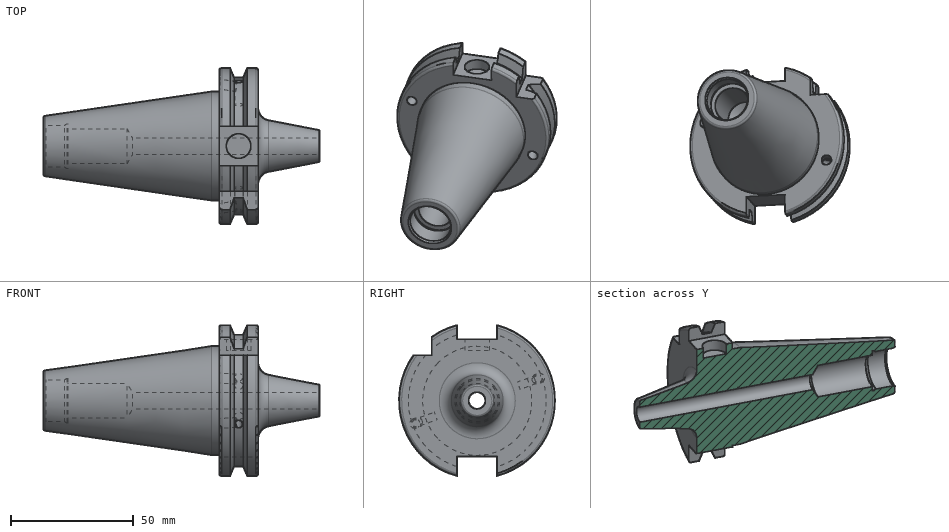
import cadquery as cq
import math


gauge_diameter = 44.45
taper_ratio = 7 / 24
shank_length = 68.4
shank_end_round = 1.0

flange_diameter = 63.55
flange_start = 3.2
flange_end = 19.1
flange_edge_round = 1.0
groove_center = 11.1
groove_floor_diameter = 56.1
groove_floor_width = 3.7
groove_mouth_width = 7.0
cut_clearance = 1.0

nose_length = 25.0
nose_tip_diameter = 13.0
nose_half_angle = 11.0
nose_root_round = 5.0
nose_tip_round = 0.7

mouth_chamfer_length = 1.0
mouth_chamfer_height = 0.55
counterbore_diameter = 17.0
counterbore_depth = 8.5
relief_flare_length = 1.0
relief_diameter = 18.2
relief_end_depth = 10.0
core_diameter = 14.2
core_depth = 34.0
drill_point_half_angle = 59.0
through_diameter = 6.7

slot_width = 16.1
upper_slot_floor = 25.0
lower_slot_floor = 22.8
notch_wall = 18.5
notch_floor = 18.5
pocket_diameter = 10.0
pocket_depth = 4.5

coolant_circle_radius = 27.0
coolant_angle = 20.0
coolant_diameter = 4.0
channel_slope = 10.0
channel_length = 7.0
plug_diameter = 3.2
plug_floor_radius = 18.0

shank_start = -shank_length
nose_end = flange_end + nose_length
gauge_radius = gauge_diameter / 2
shank_end_radius = (gauge_diameter - shank_length * taper_ratio) / 2
flange_radius = flange_diameter / 2
flange_width = flange_end - flange_start
flange_middle = (flange_start + flange_end) / 2
nose_tip_radius = nose_tip_diameter / 2
nose_root_radius = nose_tip_radius + nose_length * math.tan(math.radians(nose_half_angle))


def revolve_about_x(points):
    """Revolve a closed outline of (x, radius) points about the X axis."""
    return cq.Workplane("XY").polyline(points).close().revolve(360, (0, 0, 0), (1, 0, 0))


def circle_edges(body, x, radius):
    """Select the circular edges of a turned body at one axial place and radius."""
    margin = 0.01
    box = cq.selectors.BoxSelector(
        (x - margin, -radius - margin, -radius - margin),
        (x + margin, radius + margin, radius + margin),
        boundingbox=True,
    )
    outer = [e for e in body.edges(box).vals() if abs(e.radius() - radius) < margin]
    return body.newObject(outer)


def make_turned_body():
    body = revolve_about_x([
        (shank_start, 0),
        (shank_start, shank_end_radius),
        (0, gauge_radius),
        (flange_start, gauge_radius),
        (flange_start, flange_radius),
        (flange_end, flange_radius),
        (flange_end, nose_root_radius),
        (nose_end, nose_tip_radius),
        (nose_end, 0),
    ])
    rounds = [
        (shank_start, shank_end_radius, shank_end_round),
        (flange_start, flange_radius, flange_edge_round),
        (flange_end, flange_radius, flange_edge_round),
        (flange_end, nose_root_radius, nose_root_round),
        (nose_end, nose_tip_radius, nose_tip_round),
    ]
    for x, radius, round_radius in rounds:
        body = circle_edges(body, x, radius).fillet(round_radius)
    return body


def make_gripper_groove():
    floor_radius = groove_floor_diameter / 2
    outer_radius = flange_radius + cut_clearance
    mouth_half = groove_mouth_width / 2
    floor_half = groove_floor_width / 2
    return revolve_about_x([
        (groove_center - floor_half, floor_radius),
        (groove_center - mouth_half, flange_radius),
        (groove_center - mouth_half, outer_radius),
        (groove_center + mouth_half, outer_radius),
        (groove_center + mouth_half, flange_radius),
        (groove_center + floor_half, floor_radius),
    ])


def make_bore():
    counterbore_radius = counterbore_diameter / 2
    core_radius = core_diameter / 2
    through_radius = through_diameter / 2
    counterbore_end = shank_start + counterbore_depth
    relief_radius = relief_diameter / 2
    relief_end = shank_start + relief_end_depth
    core_end = shank_start + core_depth
    point_length = (core_radius - through_radius) / math.tan(math.radians(drill_point_half_angle))
    return revolve_about_x([
        (shank_start, 0),
        (shank_start, counterbore_radius + mouth_chamfer_height),
        (shank_start + mouth_chamfer_length, counterbore_radius),
        (counterbore_end, counterbore_radius),
        (counterbore_end + relief_flare_length, relief_radius),
        (relief_end, relief_radius),
        (relief_end, core_radius),
        (core_end, core_radius),
        (core_end + point_length, through_radius),
        (nose_end, through_radius),
        (nose_end, 0),
    ])


def make_drive_slot(floor_height, side):
    """Slot through the flange on the +Z (side = 1) or -Z (side = -1) edge."""
    depth = flange_radius - floor_height
    middle = (flange_radius + floor_height) / 2
    block = cq.Workplane("XY").box(flange_width, slot_width, depth)
    return block.translate((flange_middle, 0, side * middle))


def make_orientation_notch():
    """Square-cornered notch in the flange on the -Y, +Z side."""
    depth = flange_radius - notch_wall
    height = flange_radius - notch_floor
    block = cq.Workplane("XY").box(flange_width, depth, height, centered=(True, False, False))
    return block.translate((flange_middle, -flange_radius, notch_floor))


def make_chip_pocket():
    """Round blind pocket in the floor of the upper drive slot."""
    pocket_plane = cq.Workplane("XY").workplane(offset=upper_slot_floor - pocket_depth)
    return pocket_plane.center(groove_center, 0).circle(pocket_diameter / 2).extrude(pocket_depth)


def make_coolant_passage():
    """Channel sloping inward from the flange face, met by a radial plug hole from the groove floor."""
    slope = math.radians(channel_slope)
    direction = cq.Vector(math.cos(slope), -math.sin(slope), 0)
    mouth = cq.Vector(flange_start, coolant_circle_radius, 0)
    lead_in = coolant_diameter
    channel = cq.Solid.makeCylinder(
        coolant_diameter / 2,
        channel_length + lead_in,
        mouth - direction * lead_in,
        direction,
    )
    plug_hole = cq.Solid.makeCylinder(
        plug_diameter / 2,
        flange_radius - plug_floor_radius,
        cq.Vector(groove_center, plug_floor_radius, 0),
        cq.Vector(0, 1, 0),
    )
    return cq.Workplane(channel).union(cq.Workplane(plug_hole))


result = make_turned_body()
result = result.cut(make_gripper_groove())
result = result.cut(make_bore())
result = result.cut(make_drive_slot(upper_slot_floor, 1))
result = result.cut(make_drive_slot(lower_slot_floor, -1))
result = result.cut(make_orientation_notch())
result = result.cut(make_chip_pocket())

for turn in (0, 180):
    passage = make_coolant_passage().rotate((0, 0, 0), (1, 0, 0), coolant_angle + turn)
    result = result.cut(passage)